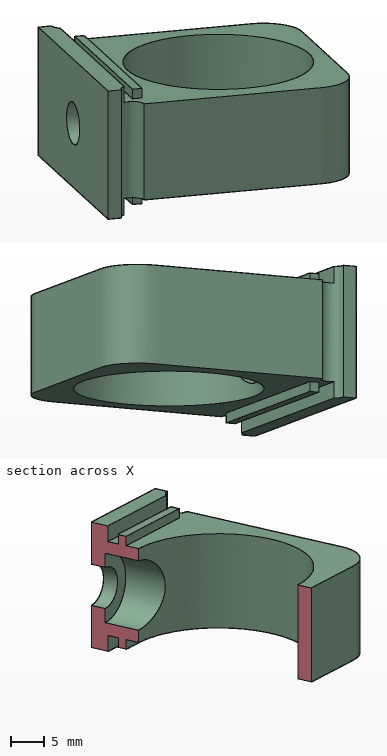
import cadquery as cq

width = 34.7
length = 39.4
body_height = 15.0
corner_radius = 6.0

plate_height = 20.0
plate_thickness = 3.0

bore_diameter = 28.5
bore_center_y = 22.75

rail_length = 28.7
rail_width = 1.5
rail_height = 1.5
rail_gap = 1.77

groove_diameter = 3.5
groove_center_y = plate_thickness + rail_gap / 2

screw_diameter = 6.5
counterbore_diameter = 11.0
counterbore_floor_y = 2.52


def block(size_x, size_y, size_z, start_y):
    """Box centered in X and Z that extends toward +Y from start_y."""
    base = cq.Workplane("XY", origin=(0, start_y, 0))
    return base.box(size_x, size_y, size_z, centered=(True, False, True))


def vertical_cylinder(diameter, x, y):
    """Cylinder along Z that spans the full plate height."""
    return cq.Workplane("XY").center(x, y).circle(diameter / 2).extrude(plate_height / 2, both=True)


def screw_cylinder(diameter, start_y):
    """Cylinder along Y from start_y to the axis of the main bore."""
    profile = cq.Workplane("XZ", origin=(0, start_y, 0)).circle(diameter / 2)
    return profile.extrude(start_y - bore_center_y)


body = block(width, length, body_height, 0).edges("|Z and >Y").fillet(corner_radius)
plate = block(width, plate_thickness, plate_height, 0)
rail_span = body_height + 2 * rail_height
rails = block(rail_length, rail_width, rail_span, plate_thickness + rail_gap)
result = body.union(plate).union(rails)

result = result.cut(vertical_cylinder(bore_diameter, 0, bore_center_y))

for groove_x in (-width / 2, width / 2):
    result = result.cut(vertical_cylinder(groove_diameter, groove_x, groove_center_y))

result = result.cut(screw_cylinder(screw_diameter, 0))
result = result.cut(screw_cylinder(counterbore_diameter, counterbore_floor_y))